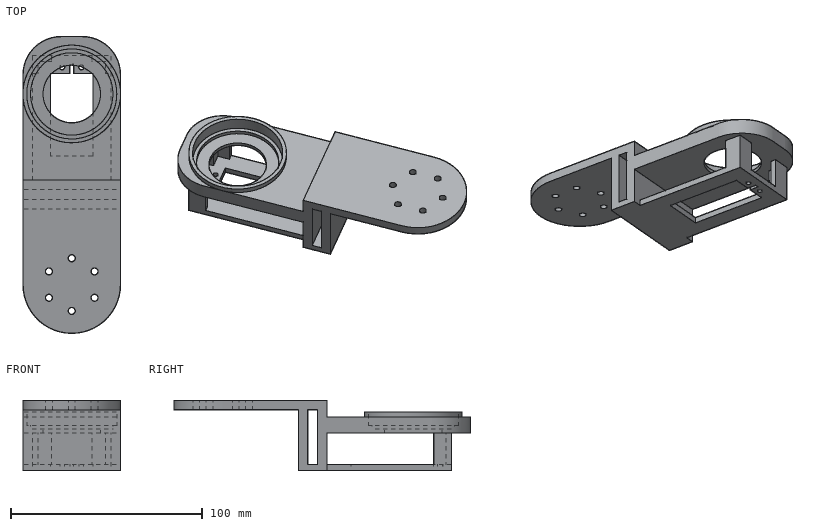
import cadquery as cq
import math


width = 51.0
half_width = width / 2
total_length = 155.0
total_height = 36.7

rear_y = 30.0
plate_corner_radius = 20.0
plate_thickness = 8.4
plate_top = 28.0
plate_bottom = plate_top - plate_thickness

rim_height = 2.7
seat_radius = 23.5
seat_depth = 7.1
relief_radius = 21.5
relief_depth = 2.0
bore_radius = 15.0

wall_thickness = 5.0
slot_width = 5.0
upright_rear_y = -45.0
upright_length = 2 * wall_thickness + slot_width
upright_front_y = upright_rear_y - upright_length

arm_thickness = 5.0
arm_bottom = total_height - arm_thickness
arm_end_y = rear_y - total_length
arm_center_y = arm_end_y + half_width
arm_hole_diameter = 3.5
arm_hole_circle_radius = 13.75
arm_hole_count = 6

floor_inset = 5.0
floor_half_width = half_width - floor_inset
floor_thickness = 3.3
floor_rear_y = 20.0
post_side_leg = 9.4
post_rear_leg = 10.0
post_wall = 3.0
post_height = plate_bottom - floor_thickness

servo_width = 22.0
servo_length = 43.0
servo_rear_y = floor_rear_y - post_side_leg
screw_diameter = 2.5
screw_half_spacing = 5.0
screw_offset = 3.3
notch_width = 2.0
notch_length = 5.0


def block(x_min, x_max, y_min, y_max, z_min, z_max):
    """Axis-aligned box given by its limits."""
    size = (x_max - x_min, y_max - y_min, z_max - z_min)
    return cq.Workplane("XY").box(*size, centered=False).translate((x_min, y_min, z_min))


def cylinder(radius, z_min, z_max, x=0.0, y=0.0):
    """Vertical cylinder between two heights."""
    return cq.Workplane("XY", origin=(x, y, z_min)).circle(radius).extrude(z_max - z_min)


def lower_plate():
    plate = block(-half_width, half_width, upright_rear_y, rear_y, plate_bottom, plate_top)
    plate = plate.edges("|Z and >Y").fillet(plate_corner_radius)
    return plate.union(cylinder(half_width, plate_bottom, plate_top + rim_height))


def bearing_seat():
    """Volume removed for the bearing, the relief below it and the through bore."""
    rim_top = plate_top + rim_height
    seat_floor = rim_top - seat_depth
    relief_floor = seat_floor - relief_depth
    seat = cylinder(seat_radius, seat_floor, rim_top)
    relief = cylinder(relief_radius, relief_floor, rim_top)
    bore = cylinder(bore_radius, plate_bottom, rim_top)
    return seat.union(relief).union(bore)


def upright():
    body = block(-half_width, half_width, upright_front_y, upright_rear_y, 0, total_height)
    slot_rear_y = upright_rear_y - wall_thickness
    slot_front_y = slot_rear_y - slot_width
    slot = block(-half_width, half_width, slot_front_y, slot_rear_y, floor_thickness, arm_bottom)
    return body.cut(slot)


def upper_plate():
    arm = block(-half_width, half_width, arm_center_y, upright_rear_y, arm_bottom, total_height)
    arm = arm.union(cylinder(half_width, arm_bottom, total_height, y=arm_center_y))
    for index in range(arm_hole_count):
        angle = math.pi / 2 + index * 2 * math.pi / arm_hole_count
        x = arm_hole_circle_radius * math.cos(angle)
        y = arm_center_y + arm_hole_circle_radius * math.sin(angle)
        arm = arm.cut(cylinder(arm_hole_diameter / 2, arm_bottom, total_height, x, y))
    return arm


def servo_floor():
    floor = block(-floor_half_width, floor_half_width, upright_rear_y, floor_rear_y, 0, floor_thickness)
    half_opening = servo_width / 2
    servo_front_y = servo_rear_y - servo_length
    floor = floor.cut(
        block(-half_opening, half_opening, servo_front_y, servo_rear_y, 0, floor_thickness)
    )
    half_notch = notch_width / 2
    notch_end_y = servo_rear_y + notch_length
    floor = floor.cut(block(-half_notch, half_notch, servo_rear_y, notch_end_y, 0, floor_thickness))
    for side in (-1, 1):
        x = side * screw_half_spacing
        y = servo_rear_y + screw_offset
        floor = floor.cut(cylinder(screw_diameter / 2, 0, floor_thickness, x, y))
    return floor


def corner_post(side):
    """L-shaped post at a rear corner of the floor; side is -1 or +1 along X."""
    return (
        cq.Workplane("XY", origin=(side * floor_half_width, floor_rear_y, floor_thickness))
        .lineTo(-side * post_rear_leg, 0)
        .lineTo(-side * post_rear_leg, -post_wall)
        .lineTo(-side * post_wall, -post_wall)
        .lineTo(-side * post_wall, -post_side_leg)
        .lineTo(0, -post_side_leg)
        .close()
        .extrude(post_height)
    )


result = lower_plate().cut(bearing_seat())
result = result.union(upright()).union(upper_plate()).union(servo_floor())
for post_side in (-1, 1):
    result = result.union(corner_post(post_side))